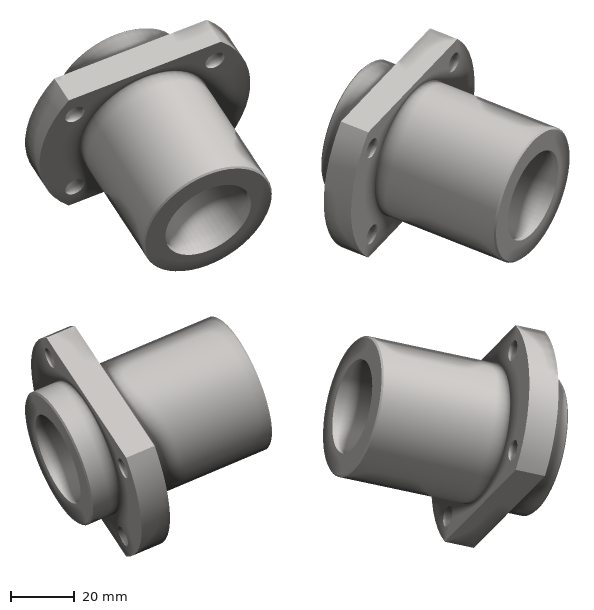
import cadquery as cq

sleeve_length = 64.0
sleeve_diameter = 45.0
bore_diameter = 30.0
end_chamfer = 0.5

flange_diameter = 73.75
flange_height = 51.0
flange_thickness = 10.0
flange_offset = 10.0
root_fillet = 0.2

hole_diameter = 6.6
hole_spacing_y = 49.0
hole_spacing_z = 35.1


def make_sleeve():
    sleeve = cq.Workplane("YZ").circle(sleeve_diameter / 2).extrude(sleeve_length)
    return sleeve.faces("<X or >X").edges().chamfer(end_chamfer)


def make_flange():
    plane = cq.Workplane("YZ").workplane(offset=flange_offset)
    disc = plane.circle(flange_diameter / 2).extrude(flange_thickness)
    flats = plane.rect(flange_diameter, flange_height).extrude(flange_thickness)
    holes = (
        plane.rect(hole_spacing_y, hole_spacing_z, forConstruction=True)
        .vertices()
        .circle(hole_diameter / 2)
        .extrude(flange_thickness)
    )
    return disc.intersect(flats).cut(holes)


def round_flange_roots(body):
    for face_x in (flange_offset, flange_offset + flange_thickness):
        reach = sleeve_diameter / 2 + root_fillet
        corner_low = (face_x - root_fillet, -reach, -reach)
        corner_high = (face_x + root_fillet, reach, reach)
        root_edge = cq.selectors.BoxSelector(corner_low, corner_high, boundingbox=True)
        largest_circle = cq.selectors.RadiusNthSelector(-1)
        body = body.edges(root_edge).edges(largest_circle).fillet(root_fillet)
    return body


bore = cq.Workplane("YZ").circle(bore_diameter / 2).extrude(sleeve_length)
body = round_flange_roots(make_sleeve().union(make_flange()))
result = body.cut(bore)